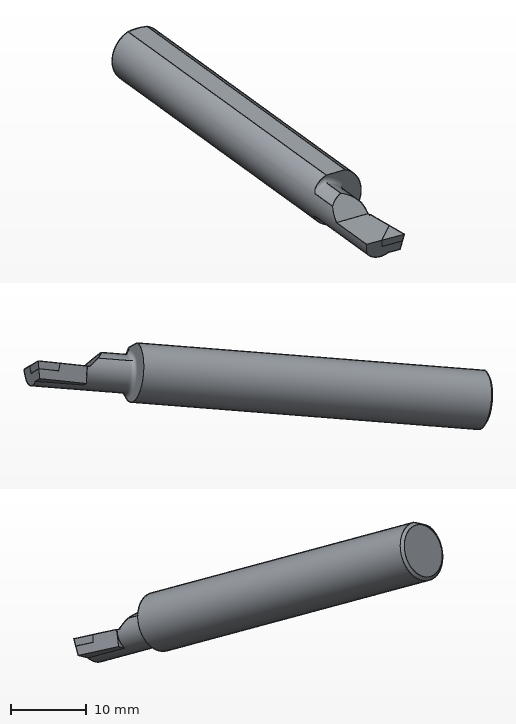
import cadquery as cq
import math

overall_length = 63.5

shank_length = 49.4
shank_diameter = 7.95
shank_radius = shank_diameter / 2
flat_height = 3.7
chamfer_length = 0.3
chamfer_depth = 0.45

neck_radius = 2.6
neck_y = -1.65
neck_z = 0.1
crown_radius = 4.7
crown_offset = 1.15
root_radius = 0.65

rake_z = neck_z
rake_start = 55.9
slope_angle = 45.0
head_start = 56.25
head_start_y = 1.1
corner_y = 1.85
end_setback = 0.2
end_relief_angle = 9.0
side_relief_angle = 10.0
head_depth = 2.3

tip_side_length = 3.25
tip_end_length = 3.5
tip_thickness = 1.0

head_bottom_z = rake_z - head_depth
side_slope = (corner_y - head_start_y) / (overall_length - head_start)
end_slope = end_setback / (corner_y + shank_radius)
end_relief = math.tan(math.radians(end_relief_angle))
side_relief = math.tan(math.radians(side_relief_angle))


def end_x(y):
    """X of the end face's top edge at a given Y."""
    return overall_length - (corner_y - y) * end_slope


def side_y(x):
    """Y of the cutting side's top edge at a given X."""
    return corner_y - (overall_length - x) * side_slope


def make_shank():
    """Round shank with a chamfered rear end and one flat along its top."""
    shank = (
        cq.Workplane("XY")
        .moveTo(0, 0)
        .lineTo(0, shank_radius - chamfer_depth)
        .lineTo(chamfer_length, shank_radius)
        .lineTo(shank_length, shank_radius)
        .lineTo(shank_length, 0)
        .close()
        .revolve(360, (0, 0, 0), (1, 0, 0))
    )
    below_flat = cq.Workplane("XY").box(
        shank_length, 2 * shank_radius, shank_radius + flat_height, centered=(False, True, False)
    ).translate((0, 0, -shank_radius))
    return shank.intersect(below_flat)


def make_flared_rod(radius, y, z):
    """Rod along X at (y, z) whose rear end flares out in a concave root."""
    arc_offset = root_radius * (1 - math.sqrt(0.5))
    return (
        cq.Workplane("XY", origin=(0, y, z))
        .moveTo(shank_length, 0)
        .lineTo(shank_length, radius + root_radius)
        .threePointArc(
            (shank_length + arc_offset, radius + arc_offset),
            (shank_length + root_radius, radius),
        )
        .lineTo(overall_length, radius)
        .lineTo(overall_length, 0)
        .close()
        .revolve(360, (0, 0, 0), (1, 0, 0))
    )


def make_neck():
    """Common part of a round rod, two wider rods that form the ridge, and the shank's cylinder."""
    neck = make_flared_rod(neck_radius, neck_y, neck_z)
    crown_z = neck_z + neck_radius - math.sqrt(crown_radius**2 - crown_offset**2)
    for side in (-1, 1):
        neck = neck.intersect(make_flared_rod(crown_radius, neck_y + side * crown_offset, crown_z))
    envelope = cq.Workplane("YZ").circle(shank_radius).extrude(overall_length)
    return neck.intersect(envelope)


def make_head_block():
    """Block that widens the neck toward the cutting corner, with a relieved side."""
    top_outline = [
        (head_start, neck_y),
        (overall_length, neck_y),
        (overall_length, corner_y),
        (head_start, head_start_y),
    ]
    side_shift = head_depth * side_relief
    bottom_outline = top_outline[:2] + [(x, y - side_shift) for x, y in top_outline[2:]]
    return (
        cq.Workplane("XY", origin=(0, 0, head_bottom_z))
        .polyline(bottom_outline)
        .close()
        .workplane(offset=head_depth)
        .polyline(top_outline)
        .close()
        .loft(ruled=True)
    )


def make_rake_cutter():
    """Space above the rake face and its lead-in slope."""
    cut_height = 2 * neck_radius
    cut_run = cut_height / math.tan(math.radians(slope_angle))
    return (
        cq.Workplane("XZ")
        .moveTo(rake_start, rake_z)
        .lineTo(overall_length, rake_z)
        .lineTo(overall_length, rake_z + cut_height)
        .lineTo(rake_start - cut_run, rake_z + cut_height)
        .close()
        .extrude(shank_radius, both=True)
    )


def make_end_envelope():
    """Space behind the end face, which leans back downward and toward -Y."""
    def section(z, shift):
        return (
            cq.Workplane("XY", origin=(0, 0, z))
            .moveTo(0, -shank_radius)
            .lineTo(end_x(-shank_radius) - shift, -shank_radius)
            .lineTo(end_x(shank_radius) - shift, shank_radius)
            .lineTo(0, shank_radius)
            .close()
            .wire()
            .val()
        )

    low = section(-shank_radius, (rake_z + shank_radius) * end_relief)
    high = section(shank_radius, (rake_z - shank_radius) * end_relief)
    return cq.Workplane(cq.Solid.makeLoft([low, high], True))


def make_tip_pocket():
    """Triangular region of the head that the cutting tip occupies."""
    seat_x = overall_length - tip_side_length
    seat_y = corner_y - tip_end_length
    seat_slope = (side_y(seat_x) - seat_y) / (end_x(seat_y) - seat_x)
    margin = 0.65
    return (
        cq.Workplane("XY", origin=(0, 0, rake_z))
        .moveTo(seat_x - margin, side_y(seat_x) + margin * seat_slope)
        .lineTo(end_x(seat_y) + margin, seat_y - margin * seat_slope)
        .lineTo(end_x(seat_y) + margin, side_y(seat_x) + margin * seat_slope)
        .close()
        .extrude(-tip_thickness)
    )


whole_bar = (
    make_shank()
    .union(make_neck())
    .union(make_head_block())
    .cut(make_rake_cutter())
    .intersect(make_end_envelope())
)
tip_pocket = make_tip_pocket()
bar = whole_bar.cut(tip_pocket)
cutting_tip = whole_bar.intersect(tip_pocket)

result = cq.Compound.makeCompound([bar.val(), cutting_tip.val()])